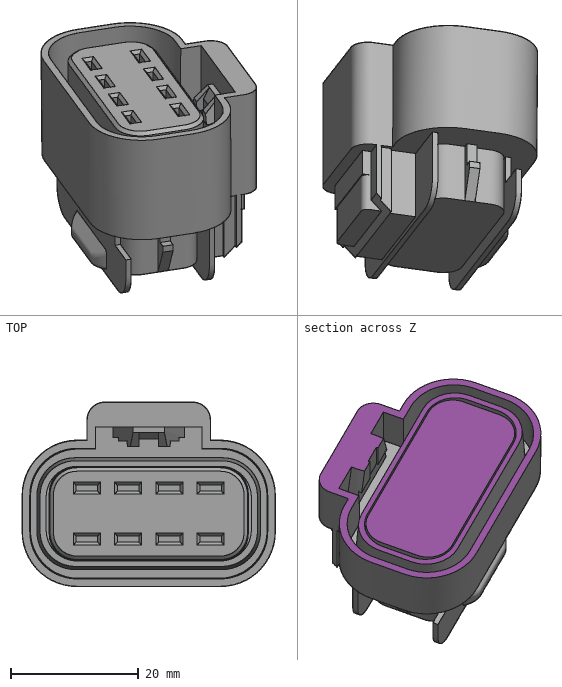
import cadquery as cq


SHELL_W, SHELL_D, SHELL_H = 39.86, 22.96, 17.65
SHELL_R = 8.63
SHELL_DRAFT = 0.1
SHELL_SHIFT = 0.1
WALL = 1.2
CAVITY_DRAFT = 0.12
FLOOR_Z = 2.0

COLLAR_W, COLLAR_Y, COLLAR_R = 19.45, 17.55, 2.8
COLLAR_WALL = 1.33
NOTCH_Y = 13.67

PLUG_W, PLUG_D, PLUG_R = 31.36, 14.74, 4.2
PLUG_TOP = 16.75
PLUG_DRAFT = 0.15
PLUG_CHAMFER = 0.55

SEAL_BORE_W, SEAL_BORE_D, SEAL_BORE_R = 32.3, 14.9, 4.9
SEAL_W, SEAL_D, SEAL_R = 34.2, 16.6, 5.5
SEAL_TOP = 10.0
SEAL_SPREAD = 0.5

SLOT_COLUMNS, SLOT_PITCH_X = 4, 6.5
SLOT_ROWS, SLOT_PITCH_Y = 2, 8.0
SLOT_MOUTH = (4.26, 1.9)
SLOT_THROAT = (3.4, 0.95)
SLOT_MOUTH_DEPTH, SLOT_DEPTH = 0.55, 6.0

LATCH_TOP = 13.77
LATCH_TOP_HALF = 2.5
LATCH_LIP_Y = 12.73
LATCH_FOOT_HALF = 5.63
LATCH_LEG_Y, LATCH_LEG_Z = 10.6, 9.9
LATCH_STEP_Y, LATCH_STEP_Z = 11.45, 5.0
LATCH_ROOT_Y = 11.95
LATCH_CREASE_Y = 13.1
LATCH_NARROWING = 0.084
LATCH_RAMP_DROP = 2.2
LATCH_WINDOW_HALF = 1.5
LATCH_WINDOW_Y, LATCH_WINDOW_Z = 11.74, 11.94

BODY_W, BODY_D, BODY_R, BODY_BOTTOM = 26.92, 12.96, 3.1, -9.4
PLATE_W, PLATE_T, PLATE_BOTTOM, PLATE_R = 34.1, 0.9, -11.71, 3.9
PLATE_NOTCH_HALF, PLATE_NOTCH_Z = 11.7, -4.42

TOOTH_Y_HALF = 0.85
TOOTH_STEM_X, TOOTH_TIP_X = 14.5, 15.9
TOOTH_TOP_Z, TOOTH_LOW_Z = -3.64, -4.68

CATCH_HALF, CATCH_FLAT_HALF = 7.5, 4.6
CATCH_TOP, CATCH_BOTTOM = -7.45, -11.1
CATCH_OUT = 1.7
CATCH_BULGE = 0.35
CATCH_RAMP = 1.75
CATCH_EDGE_R = 0.85
CATCH_CORNER_R = 1.2

BRACKET_BOTTOM, BRACKET_HALF = -10.96, 8.5
BRACKET_CORNER_Y, BRACKET_CHEEK_Y, BRACKET_BACK_Y = 11.6, 13.42, 14.25
BRACKET_CHEEK_HALF = 9.1
BRACKET_BACK_BOTTOM = -8.4
LEVER_HALF = 7.0
LEVER_NECK_Y, LEVER_PAD_Y, LEVER_PAD_FRONT = 15.67, 15.57, 12.5
LEVER_NECK_BOTTOM, LEVER_BOTTOM, LEVER_R = -4.07, -10.07, 1.0


def rounded(width, depth, radius):
    """Rectangle with rounded corners, centred on the origin."""
    return cq.Sketch().rect(width, depth).vertices().fillet(radius)


def drafted(lower, upper, z_low, z_high, shift=0.0):
    """Loft between two flat outlines; shift moves the lower one along Y."""
    placed_low = lower.moved(cq.Location(cq.Vector(0, shift, z_low)))
    placed_high = upper.moved(cq.Location(cq.Vector(0, 0, z_high)))
    return cq.Workplane("XY").placeSketch(placed_low, placed_high).loft(ruled=True)


def box(x_half, y_low, y_high, z_low, z_high):
    """Box centred on X = 0."""
    return cq.Workplane("XY").box(
        2 * x_half, y_high - y_low, z_high - z_low, centered=(True, False, False)
    ).translate((0, y_low, z_low))


def side_profile(points, x_half):
    """Prism along X, centred on X = 0, with a (Y, Z) outline."""
    return cq.Workplane("YZ").polyline(points).close().extrude(x_half, both=True)


def shell():
    """Open cup with the collar, its cavity and the notch inside the collar."""
    lower = rounded(SHELL_W - 2 * SHELL_DRAFT, SHELL_D, SHELL_R)
    cup = drafted(lower, rounded(SHELL_W, SHELL_D, SHELL_R), 0, SHELL_H, SHELL_SHIFT)
    collar = box(COLLAR_W / 2, 0, COLLAR_Y, 0, SHELL_H)
    collar = collar.edges("|Z and >Y").fillet(COLLAR_R)

    mouth_w, mouth_d, mouth_r = SHELL_W - 2 * WALL, SHELL_D - 2 * WALL, SHELL_R - WALL
    cavity_floor = rounded(mouth_w - 2 * CAVITY_DRAFT, mouth_d - 2 * CAVITY_DRAFT, mouth_r)
    cavity = drafted(cavity_floor, rounded(mouth_w, mouth_d, mouth_r), FLOOR_Z, SHELL_H)
    notch = box(COLLAR_W / 2 - COLLAR_WALL, 0, NOTCH_Y, FLOOR_Z, SHELL_H)
    return cup.union(collar).cut(cavity).cut(notch)


def terminal_slot():
    """Cutter for one blind slot with a funnel mouth, at the middle of the plug."""
    throat_z = PLUG_TOP - SLOT_MOUTH_DEPTH
    mouth = drafted(
        cq.Sketch().rect(*SLOT_THROAT), cq.Sketch().rect(*SLOT_MOUTH), throat_z, PLUG_TOP
    )
    throat_half_w, throat_half_d = SLOT_THROAT[0] / 2, SLOT_THROAT[1] / 2
    throat = box(throat_half_w, -throat_half_d, throat_half_d, PLUG_TOP - SLOT_DEPTH, throat_z)
    return mouth.union(throat)


def plug():
    """Drafted block with a chamfered top and a grid of terminal slots."""
    shoulder_w, shoulder_d = PLUG_W - 2 * PLUG_DRAFT, PLUG_D - 2 * PLUG_DRAFT
    shoulder_z = PLUG_TOP - PLUG_CHAMFER
    shoulder = rounded(shoulder_w, shoulder_d, PLUG_R)
    top = rounded(shoulder_w - 2 * PLUG_CHAMFER, shoulder_d - 2 * PLUG_CHAMFER, PLUG_R - PLUG_CHAMFER)
    block = drafted(rounded(PLUG_W, PLUG_D, PLUG_R), shoulder, 0, shoulder_z)
    block = block.union(drafted(shoulder, top, shoulder_z, PLUG_TOP))
    slot = terminal_slot()
    for column in range(SLOT_COLUMNS):
        x = (column - (SLOT_COLUMNS - 1) / 2) * SLOT_PITCH_X
        for row in range(SLOT_ROWS):
            y = (row - (SLOT_ROWS - 1) / 2) * SLOT_PITCH_Y
            block = block.cut(slot.translate((x, y, 0)))
    return block


def seal():
    """Drafted ring between plug and shell wall."""
    foot = rounded(SEAL_W + 2 * SEAL_SPREAD, SEAL_D + 2 * SEAL_SPREAD, SEAL_R + SEAL_SPREAD)
    ring = drafted(foot, rounded(SEAL_W, SEAL_D, SEAL_R), FLOOR_Z, SEAL_TOP)
    bore = rounded(SEAL_BORE_W, SEAL_BORE_D, SEAL_BORE_R)
    return ring.cut(cq.Workplane("XY").placeSketch(bore).extrude(SHELL_H))


def latch_section(half_width, crease_y):
    """Level section of the latch wedge, narrowing slightly in front of the side crease."""
    front_half = half_width - LATCH_NARROWING * (crease_y - LATCH_LEG_Y)
    return cq.Sketch().polygon([
        (-half_width, NOTCH_Y),
        (half_width, NOTCH_Y),
        (half_width, crease_y),
        (front_half, LATCH_LEG_Y),
        (-front_half, LATCH_LEG_Y),
        (-half_width, crease_y),
        (-half_width, NOTCH_Y),
    ])


def latch():
    """Tapered wedge with a ramped front, stepped underneath and split into two legs."""
    foot = latch_section(LATCH_FOOT_HALF, LATCH_ROOT_Y)
    top = latch_section(LATCH_TOP_HALF, LATCH_CREASE_Y)
    wedge = drafted(foot, top, FLOOR_Z, LATCH_TOP)
    profile = [
        (NOTCH_Y, FLOOR_Z),
        (NOTCH_Y, LATCH_TOP),
        (LATCH_LIP_Y, LATCH_TOP),
        (LATCH_LEG_Y, LATCH_TOP - LATCH_RAMP_DROP),
        (LATCH_LEG_Y, LATCH_LEG_Z),
        (LATCH_STEP_Y, LATCH_LEG_Z),
        (LATCH_STEP_Y, LATCH_STEP_Z),
        (LATCH_ROOT_Y, LATCH_STEP_Z),
        (LATCH_ROOT_Y, FLOOR_Z),
    ]
    window = [
        (LATCH_LIP_Y, LATCH_TOP),
        (LATCH_LEG_Y, LATCH_TOP),
        (LATCH_LEG_Y, FLOOR_Z),
        (LATCH_WINDOW_Y, FLOOR_Z),
        (LATCH_WINDOW_Y, LATCH_WINDOW_Z),
    ]
    wedge = wedge.intersect(side_profile(profile, LATCH_FOOT_HALF))
    return wedge.cut(side_profile(window, LATCH_WINDOW_HALF))


def body():
    """Rear body with one sloped tooth on each end."""
    core = cq.Workplane("XY").placeSketch(rounded(BODY_W, BODY_D, BODY_R)).extrude(BODY_BOTTOM)
    tooth = [
        (0, 0),
        (TOOTH_STEM_X, 0),
        (TOOTH_STEM_X, TOOTH_TOP_Z),
        (TOOTH_TIP_X, TOOTH_TOP_Z),
        (TOOTH_TIP_X, TOOTH_LOW_Z),
        (BODY_W / 2, BODY_BOTTOM),
        (0, BODY_BOTTOM),
    ]
    tooth = cq.Workplane("XZ").polyline(tooth).close().extrude(TOOTH_Y_HALF, both=True)
    return core.union(tooth).union(tooth.mirror("YZ"))


def plates():
    """Plates on both long sides of the body; the -Y one has notched upper corners."""
    inner_y = BODY_D / 2
    outer_y = inner_y + PLATE_T
    plate = box(PLATE_W / 2, inner_y, outer_y, PLATE_BOTTOM, 0)
    plate = plate.edges("|Y and <Z").fillet(PLATE_R)
    notches = box(PLATE_W / 2, inner_y, outer_y, PLATE_NOTCH_Z, 0)
    notches = notches.cut(box(PLATE_NOTCH_HALF, inner_y, outer_y, PLATE_NOTCH_Z, 0))
    return plate.union(plate.cut(notches).mirror("XZ"))


def catch():
    """Rounded catch bar with curved ends and a sloped top."""
    plate_y = -BODY_D / 2 - PLATE_T
    out_y = plate_y - CATCH_OUT
    half_bar = (
        cq.Workplane("XY", origin=(0, 0, CATCH_BOTTOM))
        .moveTo(0, out_y)
        .lineTo(CATCH_FLAT_HALF, out_y)
        .sagittaArc((CATCH_HALF, plate_y), -CATCH_BULGE)
        .lineTo(0, plate_y)
        .close()
        .extrude(CATCH_TOP - CATCH_BOTTOM)
    )
    corner_middle = (CATCH_FLAT_HALF, out_y, (CATCH_TOP + CATCH_BOTTOM) / 2)
    corner = cq.selectors.NearestToPointSelector(corner_middle)
    half_bar = half_bar.edges(corner).fillet(CATCH_CORNER_R)
    bar = half_bar.union(half_bar.mirror("YZ")).clean()
    profile = [
        (plate_y, CATCH_TOP),
        (out_y, CATCH_TOP - CATCH_RAMP),
        (out_y, CATCH_BOTTOM),
        (plate_y, CATCH_BOTTOM),
    ]
    bar = bar.intersect(side_profile(profile, CATCH_HALF))
    long_edges = bar.faces("<Z").edges("not(>Y)").add(bar.faces(">Z").edges("not(>Y)"))
    return bar.newObject(long_edges.vals()).fillet(CATCH_EDGE_R)


def bracket():
    """Stepped block under the collar with a sloped lower corner."""
    web = box(BRACKET_HALF, BODY_D / 2, BRACKET_CORNER_Y, BRACKET_BOTTOM, 0)
    cheek = box(BRACKET_CHEEK_HALF, BRACKET_CORNER_Y, BRACKET_CHEEK_Y, BRACKET_BOTTOM, 0)
    back = box(COLLAR_W / 2, BRACKET_CHEEK_Y, BRACKET_BACK_Y, BRACKET_BOTTOM, 0)
    below_slope = [
        (BRACKET_CORNER_Y, BRACKET_BOTTOM),
        (BRACKET_BACK_Y, BRACKET_BOTTOM),
        (BRACKET_BACK_Y, BRACKET_BACK_BOTTOM),
    ]
    return web.union(cheek).union(back).cut(side_profile(below_slope, SHELL_W / 2))


def lever():
    """Neck and rounded pad projecting behind the bracket."""
    neck = box(LEVER_HALF, BRACKET_CORNER_Y, LEVER_NECK_Y, LEVER_NECK_BOTTOM, 0)
    pad = box(LEVER_HALF, LEVER_PAD_FRONT, LEVER_PAD_Y, LEVER_BOTTOM, LEVER_NECK_BOTTOM)
    return neck.union(pad.edges("|Z and >Y").fillet(LEVER_R))


result = shell()
for piece in (plug(), seal(), latch(), body(), plates(), catch(), bracket(), lever()):
    result = result.union(piece)